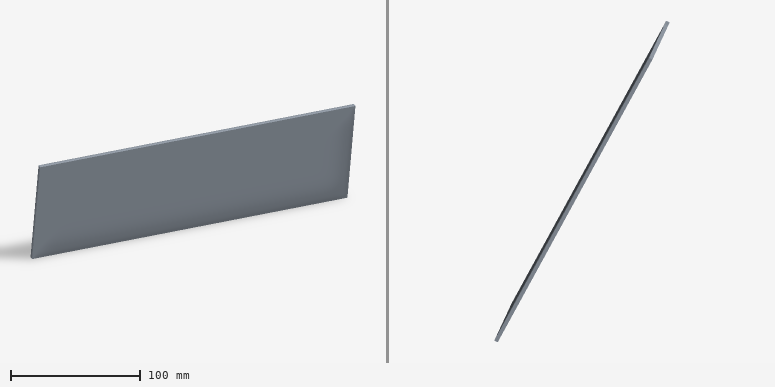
import cadquery as cq

length = 267.0
height = 85.7
thickness = 3.0
lean_angle = 10.0

result = (
    cq.Workplane("XY")
    .box(thickness, length, height)
    .rotate((0, 0, 0), (0, 1, 0), lean_angle)
)